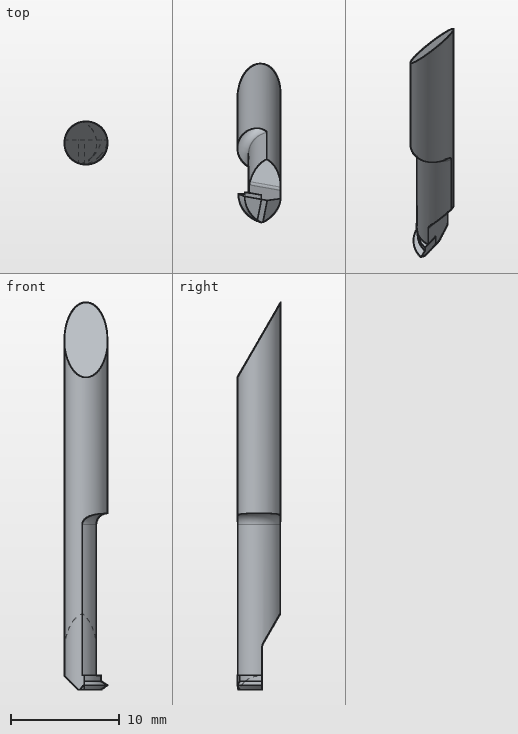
import cadquery as cq
import math

LENGTH = 35.7
BAR_RADIUS = 2.0
END_SLOPE = math.tan(math.radians(60))
CUT_REACH = 4 * BAR_RADIUS

FLAT_Y = 0.3
FLAT_RAMP_TOP = 7.07
RAMP_FILLET = 1.07

NECK_RADIUS = 2.15
NECK_AXIS_X = -1.18
NECK_TOP = 16.25
NECK_FILLET = 1.0

TIP_LEFT_X = -0.18
TIP_HEIGHT = 1.32
EDGE_Z = 0.43
CHAMFER = 1.3
CLEARANCE_RADIUS = 2.85
CLEARANCE_OFFSET = 1.15
BOTTOM_SETBACK = 0.6
TOP_SETBACK = 0.6
TOP_SLOPE_END = 0.8


def make_blank():
    """Full bar with the slanted upper end, high on the +Y side."""
    bar = cq.Workplane("XY").circle(BAR_RADIUS).extrude(LENGTH)
    low_side = LENGTH - 2 * BAR_RADIUS * END_SLOPE
    slant = (
        cq.Workplane("YZ")
        .polyline([(-BAR_RADIUS, low_side), (BAR_RADIUS, LENGTH), (-BAR_RADIUS, LENGTH)])
        .close()
        .extrude(BAR_RADIUS, both=True)
    )
    return bar.cut(slant)


def make_back_cut():
    """Material above the rake face, ending in a ramp up to the bar surface."""
    ramp_bottom = FLAT_RAMP_TOP - (BAR_RADIUS - FLAT_Y) * END_SLOPE
    return (
        cq.Workplane("YZ")
        .polyline([(FLAT_Y, 0), (FLAT_Y, ramp_bottom), (BAR_RADIUS, FLAT_RAMP_TOP), (BAR_RADIUS, 0)])
        .close()
        .extrude(BAR_RADIUS, both=True)
        .edges(cq.NearestToPointSelector((0, FLAT_Y, ramp_bottom)))
        .fillet(RAMP_FILLET)
    )


def make_side_chamfer():
    return (
        cq.Workplane("XZ")
        .polyline([(-BAR_RADIUS, 0), (CHAMFER - BAR_RADIUS, 0), (-BAR_RADIUS, CHAMFER)])
        .close()
        .extrude(BAR_RADIUS, both=True)
    )


def make_neck_cut():
    """Ring outside the neck cylinder, with a concave fillet at its upper end."""
    fillet_start = NECK_TOP - NECK_FILLET
    fillet_outer = NECK_RADIUS + NECK_FILLET
    bend = NECK_FILLET * math.sqrt(0.5)
    return (
        cq.Workplane("XZ", origin=(NECK_AXIS_X, 0, 0))
        .moveTo(NECK_RADIUS, TIP_HEIGHT)
        .lineTo(NECK_RADIUS, fillet_start)
        .threePointArc((fillet_outer - bend, fillet_start + bend), (fillet_outer, NECK_TOP))
        .lineTo(CUT_REACH, NECK_TOP)
        .lineTo(CUT_REACH, TIP_HEIGHT)
        .close()
        .revolve(360, (0, 0), (0, 1))
    )


def make_clearance_form():
    """Relief below and above the arc of the cutting edge, as leaning cylinders."""
    center = CLEARANCE_OFFSET * math.sqrt(0.5)

    def leaning_cylinder(bottom_z, bottom_x, top_z, top_x):
        return (
            cq.Workplane("XY", origin=(bottom_x - center, center, bottom_z))
            .circle(CLEARANCE_RADIUS)
            .workplane(offset=top_z - bottom_z)
            .center(top_x - bottom_x, 0)
            .circle(CLEARANCE_RADIUS)
            .loft(ruled=True)
        )

    lower = leaning_cylinder(0, -BOTTOM_SETBACK, EDGE_Z, 0)
    upper = leaning_cylinder(EDGE_Z, 0, TOP_SLOPE_END, -TOP_SETBACK)
    upright = leaning_cylinder(TOP_SLOPE_END, -TOP_SETBACK, TIP_HEIGHT, -TOP_SETBACK)
    return lower, upper.union(upright)


def make_tip_zone():
    """Block at the lower +X side of the bar that belongs to the tip."""
    return cq.Workplane("XY").box(
        CUT_REACH, 2 * CUT_REACH, TIP_HEIGHT, centered=(False, True, False)
    ).translate((TIP_LEFT_X, 0, 0))


def make_shank(blank):
    lower, _ = make_clearance_form()
    clearance_zone = cq.Workplane("XY").box(
        CUT_REACH, CUT_REACH, EDGE_Z, centered=(False, False, False)
    ).translate((CHAMFER - BAR_RADIUS, -CUT_REACH, 0))
    return blank.cut(make_neck_cut()).cut(make_tip_zone()).cut(clearance_zone.cut(lower))


def make_tip(blank):
    lower, upper = make_clearance_form()
    return blank.intersect(make_tip_zone()).intersect(lower.union(upper))


blank = make_blank().cut(make_back_cut()).cut(make_side_chamfer())
shank = make_shank(blank)
tip = make_tip(blank)

result = cq.Compound.makeCompound([*shank.vals(), *tip.vals()])